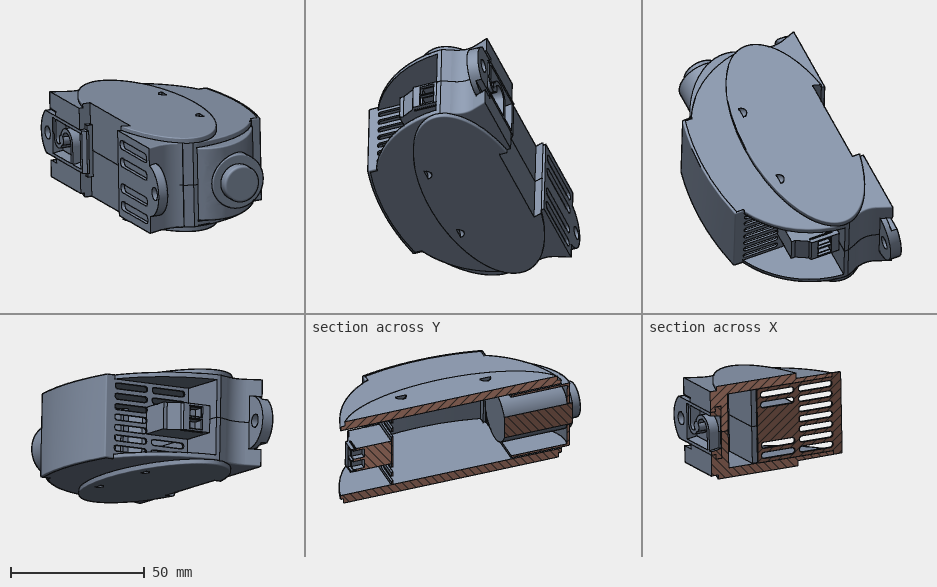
import cadquery as cq

TILT_ANGLE = 1.2

CORE_LENGTH = 90.1
CORE_WIDTH = 39.7
CORE_CENTER_Y = 19.6
CORE_HALF_HEIGHT = 18.1
CORE_EDGE_FILLET = 0.4

SIDE_X = 45.3
SHOULDER_Y = 19.6
HOUSING_FRONT_HALF_HEIGHT = 16.5
HOUSING_BACK_HALF_HEIGHT = 15.9
SHELL_EDGE_FILLET = 0.5
BACK_Y = 57.8
BACK_END_Y = 55.1
STEP_X = 24.1
STEP_Y = 51.5
FLANK_ARC_X = 39.0
FLANK_ARC_Y = 38.3
COLUMN_Y = 17.9
WAIST_TOP_X, WAIST_TOP_Y = 43.8, 14.4
WAIST_MID_X, WAIST_MID_Y = 42.3, 9.8
WAIST_END_X, WAIST_END_Y = 42.9, 5.5
FOOT_X = 45.2

WALL = 2.1
CAVITY_HALF_HEIGHT = 14.3
CAVITY_FRONT_Y = 7.5

RAIL_DEPTH = 4.5
RAIL_LEFT_X = -18.3
RAIL_RIGHT_MOUTH_X = 16.7
RAIL_RIGHT_FLOOR_X = 18.0

DIMPLE_X = 17.0
DIMPLE_Y = 34.3
DIMPLE_RADIUS = 2.1

COVER_WALL = 0.9
COVER_BACK_WALL = 0.9
VENT_WIDTH = 2.2
VENT_LENGTH = 14.0
VENT_PITCH = 4.0
VENT_BACK_Y = 44.3
VENT_FRONT_Y = 28.3
VENT_BACK_ROWS = (-3, -2, -1, 0, 1, 2, 3)
VENT_FRONT_ROWS = (-3, -2, 2, 3)

TERMINAL_HALF_HEIGHT = 5.1
TERMINAL_BACK_Y = 37.6
TERMINAL_BACK_X = -36.8
TERMINAL_SLOPE_START_Y = 36.1
TERMINAL_SLOPE_END_Y = 31.5
TERMINAL_SLOPE_END_X = -39.3
TERMINAL_FACE_Y = 31.0
TERMINAL_FACE_X = -40.4
SOCKET_Y = 25.2
SOCKET_WIDTH = 4.7
SOCKET_HEIGHT = 3.4
SOCKET_SPACING = 4.7
SOCKET_DEPTH = 5.3
SOCKET_MOUTH_Y = 25.5
SOCKET_MOUTH_WIDTH = 5.5
SOCKET_MOUTH_HEIGHT = 4.1
SOCKET_MOUTH_DEPTH = 1.1
RELEASE_SLIT_X = -38.4
RELEASE_SLIT_WIDTH = 0.4
RELEASE_SLIT_END_Y = 31.0
RELEASE_SLIT_DEPTH = 0.4

CAP_HALF_HEIGHT = 14.0
CAP_ARC_X, CAP_ARC_Y = 40.1, 42.1
CAP_CREST_X, CAP_CREST_Y = 47.8, 27.8
CAP_WALL = 1.1
CAP_EDGE_FILLET = 0.5

GLAND_Y = 34.7
GLAND_RADIUS = 10.4
GLAND_INNER_X = 21.4
GLAND_OUTER_X = 48.8
NIPPLE_Y = 34.4
NIPPLE_RADIUS = 6.9
NIPPLE_END_X = 53.1
GLAND_FILLET = 0.4
NIPPLE_FILLET = 0.9

EAR_RADIUS = 10.0
EAR_HOLE_RADIUS = 2.5

FOOT_EAR_END_X = 53.3
FOOT_EAR_HOLE_X = 49.5
FOOT_EAR_THICKNESS = 4.1
FOOT_EAR_FILLET = 1.1
FOOT_SLOT_X = 30.7
FOOT_SLOT_LENGTH = 24.1
FOOT_SLOT_WIDTH = 3.4
FOOT_SLOT_DEPTH = 1.5
FOOT_SLOT_INNER_Z = 5.0
FOOT_SLOT_OUTER_Z = 11.8

CLIP_EAR_END_X = -53.5
CLIP_HOLE_X = -47.6
CLIP_THICKNESS = 4.4
CLIP_TONGUE_Y = 2.2
CLIP_FRONT_HALF_WIDTH = 8.2
CLIP_END_X = -16.3
CLIP_HOOK_X = -14.9
CLIP_HOOK_FLAT_Y = 1.4
LIP_START_X = -40.0
WINDOW_START_X = -42.9
WINDOW_END_X = -17.8
WINDOW_HALF_WIDTH = 6.9
WINDOW_FLOOR_HALF_WIDTH = 6.3
WINDOW_DEPTH = 4.1
SPRING_THICKNESS = 1.6
SPRING_FIRST_LEG_X = -40.8
SPRING_MIDDLE_X = -35.1
SPRING_LAST_LEG_X = -25.7
SPRING_NUB_RADIUS = 1.9

REACH = 128.1


def box(x0, x1, y0, y1, z0, z1):
    """Block between two opposite corners."""
    return cq.Workplane("XY").box(x1 - x0, y1 - y0, z1 - z0, centered=False).translate((x0, y0, z0))


def slab(sketch, half_height):
    """Prism of a closed XY outline, centred on z = 0."""
    return sketch.extrude(2 * half_height).translate((0, 0, -half_height))


def front_prism(sketch, y0, y1):
    """Prism between y0 and y1 of a closed outline drawn with x across and z up."""
    return sketch.extrude(y0 - y1).translate((0, y0, 0))


def front_plane():
    return cq.Workplane("XZ")


def core_prism(length, width, half_height):
    ellipse = cq.Workplane("XY").center(0, CORE_CENTER_Y).ellipse(length / 2, width / 2)
    return slab(ellipse, half_height)


def taper_wedge():
    """Space between the two flat faces of the shell, which close in towards the back."""
    points = [
        (0, -HOUSING_FRONT_HALF_HEIGHT),
        (BACK_Y, -HOUSING_BACK_HALF_HEIGHT),
        (BACK_Y, HOUSING_BACK_HALF_HEIGHT),
        (0, HOUSING_FRONT_HALF_HEIGHT),
    ]
    return cq.Workplane("YZ").polyline(points).close().extrude(REACH / 2, both=True)


def shell_block():
    """Full shell with rounded rims: feet, waist, columns, flanks and the raised back."""
    outline = (
        cq.Workplane("XY")
        .moveTo(-FOOT_X, 0)
        .lineTo(FOOT_X, 0)
        .lineTo(WAIST_END_X, WAIST_END_Y)
        .threePointArc((WAIST_MID_X, WAIST_MID_Y), (WAIST_TOP_X, WAIST_TOP_Y))
        .lineTo(SIDE_X, COLUMN_Y)
        .lineTo(SIDE_X, SHOULDER_Y)
        .threePointArc((FLANK_ARC_X, FLANK_ARC_Y), (STEP_X, STEP_Y))
        .lineTo(STEP_X, BACK_END_Y)
        .threePointArc((0, BACK_Y), (-STEP_X, BACK_END_Y))
        .lineTo(-STEP_X, STEP_Y)
        .threePointArc((-FLANK_ARC_X, FLANK_ARC_Y), (-SIDE_X, SHOULDER_Y))
        .lineTo(-SIDE_X, COLUMN_Y)
        .lineTo(-WAIST_TOP_X, WAIST_TOP_Y)
        .threePointArc((-WAIST_MID_X, WAIST_MID_Y), (-WAIST_END_X, WAIST_END_Y))
        .close()
    )
    block = slab(outline, CORE_HALF_HEIGHT).intersect(taper_wedge())
    corners_start_y = BACK_END_Y - SHELL_EDGE_FILLET
    back_corners = cq.selectors.BoxSelector((-REACH, corners_start_y, -REACH), (REACH, REACH, REACH))
    block = block.edges("|Z").edges(back_corners).fillet(SHELL_EDGE_FILLET)
    return block.faces(">Z or <Z").edges("not <Y").fillet(SHELL_EDGE_FILLET)


def back_block(inset_x, inset_y):
    """Middle of the housing between the steps, inset from its sides and back."""
    half_width = STEP_X - inset_x
    outline = (
        cq.Workplane("XY")
        .moveTo(-half_width, CAVITY_FRONT_Y)
        .lineTo(half_width, CAVITY_FRONT_Y)
        .lineTo(half_width, BACK_END_Y - inset_y)
        .threePointArc((0, BACK_Y - inset_y), (-half_width, BACK_END_Y - inset_y))
        .close()
    )
    return slab(outline, CORE_HALF_HEIGHT)


def rail_slot():
    outline = (
        cq.Workplane("XY")
        .moveTo(RAIL_LEFT_X, 0)
        .lineTo(RAIL_LEFT_X, RAIL_DEPTH)
        .lineTo(RAIL_RIGHT_FLOOR_X, RAIL_DEPTH)
        .lineTo(RAIL_RIGHT_MOUTH_X, 0)
        .lineTo(RAIL_RIGHT_MOUTH_X, -RAIL_DEPTH)
        .lineTo(RAIL_LEFT_X, -RAIL_DEPTH)
        .close()
    )
    return slab(outline, REACH / 2)


def foot_slots():
    """Four blind slots in the mounting face of the fixed foot."""
    rows = [-FOOT_SLOT_OUTER_Z, -FOOT_SLOT_INNER_Z, FOOT_SLOT_INNER_Z, FOOT_SLOT_OUTER_Z]
    slots = (
        front_plane()
        .pushPoints([(FOOT_SLOT_X, z) for z in rows])
        .slot2D(FOOT_SLOT_LENGTH, FOOT_SLOT_WIDTH)
    )
    return front_prism(slots, 0, FOOT_SLOT_DEPTH)


def foot_zone():
    """Space of the fixed foot: the right corner of the shell in front of the core."""
    zone = box(0, REACH, 0, WAIST_TOP_Y, -REACH, REACH)
    return zone.cut(core_prism(CORE_LENGTH, CORE_WIDTH, REACH))


def clip_blank():
    """Clip without its openings: a wide tongue behind a narrower front with a hooked end."""
    ear_x = CLIP_EAR_END_X + EAR_RADIUS
    ear = front_prism(front_plane().center(ear_x, 0).circle(EAR_RADIUS), 0, CLIP_THICKNESS)
    bar = box(ear_x, CLIP_END_X, 0, CLIP_THICKNESS, -EAR_RADIUS, EAR_RADIUS)
    front_limit = box(
        -REACH, REACH, 0, CLIP_TONGUE_Y, -CLIP_FRONT_HALF_WIDTH, CLIP_FRONT_HALF_WIDTH
    )
    tongue_limit = box(-REACH, REACH, CLIP_TONGUE_Y, CLIP_THICKNESS, -REACH, REACH)
    hook = slab(
        cq.Workplane("XY").polyline(
            [
                (CLIP_END_X, 0),
                (CLIP_HOOK_X, CLIP_HOOK_FLAT_Y),
                (CLIP_HOOK_X, CLIP_TONGUE_Y),
                (CLIP_END_X, CLIP_TONGUE_Y),
            ]
        ).close(),
        CLIP_FRONT_HALF_WIDTH,
    )
    return ear.union(bar).intersect(front_limit.union(tongue_limit)).union(hook)


def make_housing():
    """Both halves in one piece, before the parting cut."""
    core = core_prism(CORE_LENGTH, CORE_WIDTH, CORE_HALF_HEIGHT)
    core = core.faces("|Z").edges().fillet(CORE_EDGE_FILLET)
    cavity_limit = box(-REACH, REACH, CAVITY_FRONT_Y, SHOULDER_Y - WALL, -REACH, REACH)
    cavity_height = box(-REACH, REACH, 0, REACH, -CAVITY_HALF_HEIGHT, CAVITY_HALF_HEIGHT)
    core_cavity = core_prism(CORE_LENGTH - 2 * WALL, CORE_WIDTH - 2 * WALL, CAVITY_HALF_HEIGHT)
    side_recess = box(-REACH, REACH, SHOULDER_Y, STEP_Y, -CAVITY_HALF_HEIGHT, CAVITY_HALF_HEIGHT)
    housing = (
        shell_block()
        .cut(foot_zone())
        .cut(vent_cover_back())
        .union(core)
        .cut(core_cavity.intersect(cavity_limit))
        .cut(back_block(0, 0).intersect(cavity_height))
        .cut(side_recess)
        .cut(rail_slot())
        .cut(clip_blank())
    )
    lip_relief = box(-REACH, LIP_START_X, 0, CLIP_THICKNESS, -EAR_RADIUS, EAR_RADIUS)
    housing = housing.cut(lip_relief)
    for z in (-CORE_HALF_HEIGHT, CORE_HALF_HEIGHT):
        for x in (-DIMPLE_X, DIMPLE_X):
            ball = cq.Workplane("XY").sphere(DIMPLE_RADIUS).translate((x, DIMPLE_Y, z))
            housing = housing.cut(ball.intersect(box(-REACH, REACH, 0, DIMPLE_Y, -REACH, REACH)))
    return housing


def make_housing_half(side):
    """Half of the housing above (side = 1) or below (side = -1) the parting plane."""
    keep = box(-REACH, REACH, -REACH, REACH, 0, REACH)
    if side < 0:
        keep = keep.mirror("XY")
    return make_housing().intersect(keep)


def vent_cover_back():
    """Curved back of the cover with the short returns at the steps, over the full height."""
    back = back_block(0, 0).cut(back_block(COVER_WALL, COVER_BACK_WALL))
    return back.intersect(box(-REACH, REACH, STEP_Y, REACH, -REACH, REACH)).intersect(shell_block())


def make_vent_cover():
    wall = box(
        -STEP_X, -STEP_X + COVER_WALL, SHOULDER_Y, STEP_Y, -CAVITY_HALF_HEIGHT, CAVITY_HALF_HEIGHT
    )
    back_rows = [(VENT_BACK_Y, row * VENT_PITCH) for row in VENT_BACK_ROWS]
    front_rows = [(VENT_FRONT_Y, row * VENT_PITCH) for row in VENT_FRONT_ROWS]
    vents = (
        cq.Workplane("YZ")
        .pushPoints(back_rows + front_rows)
        .slot2D(VENT_LENGTH, VENT_WIDTH)
        .extrude(-STEP_X - COVER_WALL)
    )
    return vent_cover_back().union(wall.cut(vents))


def make_terminal_block():
    profile = cq.Workplane("XY").polyline(
        [
            (-STEP_X, SHOULDER_Y),
            (-STEP_X, TERMINAL_BACK_Y),
            (TERMINAL_BACK_X, TERMINAL_BACK_Y),
            (TERMINAL_BACK_X, TERMINAL_SLOPE_START_Y),
            (TERMINAL_SLOPE_END_X, TERMINAL_SLOPE_END_Y),
            (TERMINAL_FACE_X, TERMINAL_FACE_Y),
            (TERMINAL_FACE_X, SHOULDER_Y),
        ]
    ).close()
    block = slab(profile, TERMINAL_HALF_HEIGHT)
    slit = box(
        RELEASE_SLIT_X - RELEASE_SLIT_WIDTH / 2,
        RELEASE_SLIT_X + RELEASE_SLIT_WIDTH / 2,
        SHOULDER_Y + WALL,
        RELEASE_SLIT_END_Y,
        TERMINAL_HALF_HEIGHT - RELEASE_SLIT_DEPTH,
        TERMINAL_HALF_HEIGHT,
    )
    return (
        block.cut(terminal_sockets(SOCKET_Y, SOCKET_WIDTH, SOCKET_HEIGHT, SOCKET_DEPTH))
        .cut(
            terminal_sockets(
                SOCKET_MOUTH_Y, SOCKET_MOUTH_WIDTH, SOCKET_MOUTH_HEIGHT, SOCKET_MOUTH_DEPTH
            )
        )
        .cut(slit)
        .cut(slit.mirror("XY"))
    )


def terminal_sockets(center_y, width, height, depth):
    """Pair of rectangular wire openings sunk into the terminal face."""
    return (
        cq.Workplane("YZ", origin=(TERMINAL_FACE_X, 0, 0))
        .pushPoints([(center_y, side * SOCKET_SPACING / 2) for side in (-1, 1)])
        .rect(width, height)
        .extrude(depth)
    )


def cap_outline(inset):
    """Bulge outline, open side at the step, shrunk by the inset on its other sides."""
    return (
        cq.Workplane("XY")
        .moveTo(STEP_X, SHOULDER_Y + inset)
        .lineTo(STEP_X, STEP_Y - inset)
        .spline(
            [
                (CAP_ARC_X - inset, CAP_ARC_Y - inset),
                (CAP_CREST_X - inset, CAP_CREST_Y),
                (SIDE_X - inset, SHOULDER_Y + inset),
            ],
            includeCurrent=True,
        )
        .close()
    )


def make_end_cap():
    """Hollow bulge closing the right end, open towards the housing."""
    cap = slab(cap_outline(0), CAP_HALF_HEIGHT).faces("|Z").edges("%BSPLINE").fillet(CAP_EDGE_FILLET)
    hollow = slab(cap_outline(CAP_WALL), CAP_HALF_HEIGHT - CAP_WALL)
    return cap.cut(hollow).cut(gland_barrel())


def gland_barrel():
    circle = cq.Workplane("YZ", origin=(GLAND_INNER_X, 0, 0)).center(GLAND_Y, 0).circle(GLAND_RADIUS)
    return circle.extrude(GLAND_OUTER_X - GLAND_INNER_X)


def make_cable_gland():
    circle = cq.Workplane("YZ", origin=(GLAND_OUTER_X, 0, 0)).center(NIPPLE_Y, 0).circle(NIPPLE_RADIUS)
    nipple = circle.extrude(NIPPLE_END_X - GLAND_OUTER_X)
    barrel = gland_barrel().faces(">X").edges().fillet(GLAND_FILLET)
    return barrel.union(nipple.faces(">X").edges().fillet(NIPPLE_FILLET))


def make_fixed_foot():
    ear_x = FOOT_EAR_END_X - EAR_RADIUS
    ear = front_prism(front_plane().center(ear_x, 0).circle(EAR_RADIUS), 0, FOOT_EAR_THICKNESS)
    ear = ear.faces(">Y").edges().fillet(FOOT_EAR_FILLET).intersect(foot_zone())
    hole = front_plane().center(FOOT_EAR_HOLE_X, 0).circle(EAR_HOLE_RADIUS)
    return (
        shell_block()
        .intersect(foot_zone())
        .union(ear)
        .cut(rail_slot())
        .cut(foot_slots())
        .cut(front_prism(hole, 0, FOOT_EAR_THICKNESS))
    )


def clip_window():
    """Blind window whose long sides lean in towards its floor."""
    section = cq.Workplane("YZ", origin=(WINDOW_START_X, 0, 0)).polyline(
        [
            (0, -WINDOW_HALF_WIDTH),
            (WINDOW_DEPTH, -WINDOW_FLOOR_HALF_WIDTH),
            (WINDOW_DEPTH, WINDOW_FLOOR_HALF_WIDTH),
            (0, WINDOW_HALF_WIDTH),
        ]
    )
    return section.close().extrude(WINDOW_END_X - WINDOW_START_X)


def make_clip_spring():
    """S-shaped leaf spring with a round nub at its middle, between the window's long sides."""
    first_radius = (SPRING_MIDDLE_X - SPRING_FIRST_LEG_X) / 2
    second_radius = (SPRING_LAST_LEG_X - SPRING_MIDDLE_X) / 2
    centerline = (
        cq.Workplane("XZ")
        .moveTo(SPRING_FIRST_LEG_X, WINDOW_HALF_WIDTH)
        .lineTo(SPRING_FIRST_LEG_X, 0)
        .threePointArc((SPRING_FIRST_LEG_X + first_radius, -first_radius), (SPRING_MIDDLE_X, 0))
        .threePointArc((SPRING_MIDDLE_X + second_radius, second_radius), (SPRING_LAST_LEG_X, 0))
        .lineTo(SPRING_LAST_LEG_X, -WINDOW_HALF_WIDTH)
    )
    leaf = (
        cq.Workplane("XY", origin=(SPRING_FIRST_LEG_X, CLIP_THICKNESS / 2, WINDOW_HALF_WIDTH))
        .rect(SPRING_THICKNESS, CLIP_THICKNESS)
        .sweep(centerline.translate((0, CLIP_THICKNESS / 2, 0)))
    )
    nub = front_prism(front_plane().center(SPRING_MIDDLE_X, 0).circle(SPRING_NUB_RADIUS), 0, CLIP_THICKNESS)
    return leaf.union(nub)


def make_clip():
    hole = front_plane().center(CLIP_HOLE_X, 0).circle(EAR_HOLE_RADIUS)
    return (
        clip_blank()
        .cut(front_prism(hole, 0, CLIP_THICKNESS))
        .cut(clip_window())
        .union(make_clip_spring())
    )


upper_housing = make_housing_half(1)
lower_housing = make_housing_half(-1)
vent_cover = make_vent_cover()
terminal_block = make_terminal_block()
end_cap = make_end_cap()
cable_gland = make_cable_gland()
fixed_foot = make_fixed_foot()
clip = make_clip()

bodies = [
    upper_housing,
    lower_housing,
    vent_cover,
    terminal_block,
    end_cap,
    cable_gland,
    fixed_foot,
    clip,
]
result = cq.Compound.makeCompound(
    [body.solids().val().rotate(cq.Vector(0, 0, 0), cq.Vector(1, 0, 0), TILT_ANGLE) for body in bodies]
)